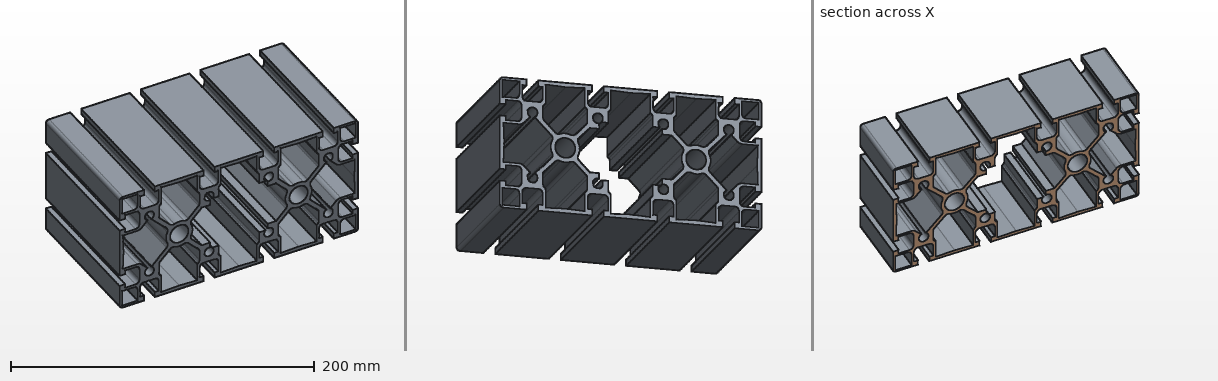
import cadquery as cq
import math

LENGTH = 100.0
MODULE = 45.0
WIDTH = 4 * MODULE
HEIGHT = 2 * MODULE
OUTER_RADIUS = 2.5

SLOT_OPENING = 8.2
SLOT_INNER = 14.0
SLOT_LIP = 4.2
SLOT_DEPTH = 15.0
SLOT_RADIUS = 3.0
SLOT_WALL = 1.95
SLOT_OFFSET = MODULE / 2

BOX_SKIN = 1.8
BOX_RADIUS = 3.0

CHANNEL_DIAMETER = 6.9
CHANNEL_BLOCK = 14.4
BLOCK_RADIUS = 2.5
SHOULDER_DEPTH = 15.6
GAP_SIDE_SHIFT = 0.8
GAP_FLOOR_SHIFT = 2.5

HUB_DIAMETER = 20.0
HUB_BORE = 13.8
HUB_FILLET = 3.0
PANEL_WEB_SIDE = 2.2
INNER_WEB_SIDE = 1.2

PANEL_EDGE = 2.45
PANEL_CENTRE = 3.0

SLANT_SHIFT = 1.2
SLANT_BEND_RADIUS = 5.0

BAY_HALF = SLOT_OFFSET - SLOT_INNER / 2 - SLOT_WALL
BLOCK_FACE = SLOT_OFFSET - CHANNEL_BLOCK / 2
SHOULDER = MODULE - SHOULDER_DEPTH
SHOULDER_END = SHOULDER - (BLOCK_FACE - BAY_HALF)
PANEL_INNER = MODULE - PANEL_EDGE
PANEL_CROWN = MODULE - PANEL_CENTRE

COLUMN_OFFSETS = [(column - 1.5) * MODULE for column in range(4)]
ROW_OFFSETS = [-SLOT_OFFSET, SLOT_OFFSET]

ROOT_TWO = math.sqrt(2)
UP, TOWARD_MINUS_Y, DOWN, TOWARD_PLUS_Y = range(4)


def profile_plane():
    return cq.Workplane("YZ", origin=(-LENGTH / 2, 0, 0))


def placed(cutter, direction, y, z):
    return cutter.rotate((0, 0, 0), (1, 0, 0), 90 * direction).translate((0, y, z))


def rod(diameter, y, z):
    return profile_plane().center(y, z).circle(diameter / 2).extrude(LENGTH)


def arc_point(centre, radius, angle):
    return (centre[0] + radius * math.cos(angle), centre[1] + radius * math.sin(angle))


def corner_arc(before, corner, after, radius):
    """Start, middle and end of the arc that rounds a corner between two straight lines."""
    to_before = math.atan2(before[1] - corner[1], before[0] - corner[0])
    to_after = math.atan2(after[1] - corner[1], after[0] - corner[0])
    half_angle = math.remainder(to_after - to_before, 2 * math.pi) / 2
    tangent = radius / math.tan(abs(half_angle))
    middle = radius / math.sin(abs(half_angle)) - radius
    return [
        arc_point(corner, tangent, to_before),
        arc_point(corner, middle, to_before + half_angle),
        arc_point(corner, tangent, to_after),
    ]


def mirrored(pieces):
    """Reflect a run of lines and arcs in the vertical axis and reverse its order."""
    return [[(-y, z) for y, z in reversed(piece)] for piece in reversed(pieces)]


def trace(path, pieces):
    """Draw a line to each piece; a piece is one point, or the three points of an arc."""
    for piece in pieces:
        path = path.lineTo(*piece[0])
        if len(piece) > 1:
            path = path.threePointArc(piece[1], piece[2])
    return path


def shoulder():
    """Side wall of a bay from its panel to the rounded step onto the face of a channel block."""
    wall_end = (BAY_HALF, SHOULDER)
    corner = (BLOCK_FACE, SHOULDER_END)
    below = (BLOCK_FACE, 0)
    return [[(BAY_HALF, PANEL_INNER)], [wall_end], corner_arc(wall_end, corner, below, BLOCK_RADIUS)]


def hub_curve(path, web_side):
    """Continue from the right web over the top of a hub at the origin to the left web."""
    hub_radius = HUB_DIAMETER / 2
    reach = hub_radius + HUB_FILLET
    diagonal = math.pi / 4
    swing = math.asin((web_side + HUB_FILLET) / reach)
    centre = arc_point((0, 0), reach, diagonal + swing)
    toward_web = -diagonal
    toward_hub = diagonal + swing - math.pi
    angles = [toward_web, (toward_web + toward_hub) / 2, toward_hub]
    right = [arc_point(centre, HUB_FILLET, angle) for angle in angles]
    left = mirrored([right])[0]
    path = trace(path, [right])
    path = path.threePointArc((0, hub_radius), left[0])
    return path.threePointArc(left[1], left[2])


def bay(start, right, web_side):
    """Symmetric bay: right side from start down to the web, over the hub, and back up the left."""
    path = trace(profile_plane().moveTo(*start), right)
    path = hub_curve(path, web_side)
    return trace(path, mirrored(right)).close().extrude(LENGTH)


def panel_bay():
    """Closed bay between a hub and a long-side panel."""
    step = PANEL_WEB_SIDE * ROOT_TWO
    block_top = (BLOCK_FACE, SHOULDER_END)
    web_corner = (BLOCK_FACE, BLOCK_FACE + step)
    web_foot = (0, step)
    right = shoulder() + [corner_arc(block_top, web_corner, web_foot, BLOCK_RADIUS)]
    return bay((0, PANEL_CROWN), right, PANEL_WEB_SIDE)


def end_bay():
    """Bay between a hub and an end panel; its inner corners open into two screw channels."""
    slant_sum = 2 * SLOT_OFFSET - SLANT_SHIFT * ROOT_TWO
    step = INNER_WEB_SIDE * ROOT_TWO
    tip = ((slant_sum - step) / 2, (slant_sum + step) / 2)
    wall_top = (BAY_HALF, PANEL_INNER)
    bend = (BAY_HALF, slant_sum - BAY_HALF)
    right = [[wall_top], corner_arc(wall_top, bend, tip, SLANT_BEND_RADIUS), [tip]]
    return bay((0, PANEL_CROWN), right, INNER_WEB_SIDE)


def middle_half_bay():
    """Half of the bay between the hubs, from one hub up to the middle of the profile."""
    gap_side = SLOT_OFFSET + GAP_SIDE_SHIFT
    gap_floor = SLOT_OFFSET - GAP_FLOOR_SHIFT
    side_wall = [[(z, MODULE - y) for y, z in piece] for piece in shoulder()]
    right = [[(PANEL_CROWN, MODULE)]] + side_wall + [
        [(gap_floor, MODULE - BLOCK_FACE)],
        [(gap_floor, gap_side)],
        [(BLOCK_FACE, gap_side)],
        [(BLOCK_FACE, BLOCK_FACE + INNER_WEB_SIDE * ROOT_TWO)],
    ]
    return bay((0, MODULE), right, INNER_WEB_SIDE)


def t_slot():
    """T-slot running down from an outer face at z = 0."""
    chamber_height = SLOT_DEPTH - SLOT_LIP
    chamber = (
        cq.Workplane("XY")
        .box(LENGTH, SLOT_INNER, chamber_height)
        .translate((0, 0, -SLOT_LIP - chamber_height / 2))
        .faces("<Z")
        .edges("|X")
        .fillet(SLOT_RADIUS)
    )
    throat = cq.Workplane("XY").box(LENGTH, SLOT_OPENING, SLOT_LIP).translate((0, 0, -SLOT_LIP / 2))
    return chamber.union(throat)


def corner_box():
    """Hollow of the corner box at +Y +Z, measured inward from that outer corner."""
    size = SLOT_OFFSET - SLOT_INNER / 2 - SLOT_WALL - BOX_SKIN
    centre = -BOX_SKIN - size / 2
    return (
        cq.Workplane("XY")
        .box(LENGTH, size, size)
        .edges("|X and <Y and <Z")
        .fillet(BOX_RADIUS)
        .translate((0, centre, centre))
    )


def build_profile():
    body = cq.Workplane("XY").box(LENGTH, WIDTH, HEIGHT).edges("|X").fillet(OUTER_RADIUS)
    slot = t_slot()
    box = corner_box()
    long_bay = panel_bay()
    short_bay = end_bay()
    half_bay = middle_half_bay()

    for y in COLUMN_OFFSETS:
        body = body.cut(placed(slot, UP, y, HEIGHT / 2))
        body = body.cut(placed(slot, DOWN, y, -HEIGHT / 2))
        for z in ROW_OFFSETS:
            body = body.cut(rod(CHANNEL_DIAMETER, y, z))

    for z in ROW_OFFSETS:
        body = body.cut(placed(slot, TOWARD_PLUS_Y, WIDTH / 2, z))
        body = body.cut(placed(slot, TOWARD_MINUS_Y, -WIDTH / 2, z))

    corners = [(1, 1), (-1, 1), (-1, -1), (1, -1)]
    for turns, (y_sign, z_sign) in enumerate(corners):
        body = body.cut(placed(box, turns, y_sign * WIDTH / 2, z_sign * HEIGHT / 2))

    hubs = [
        (-MODULE, TOWARD_MINUS_Y, TOWARD_PLUS_Y),
        (MODULE, TOWARD_PLUS_Y, TOWARD_MINUS_Y),
    ]
    for y, outward, inward in hubs:
        body = body.cut(rod(HUB_BORE, y, 0))
        body = body.cut(placed(long_bay, UP, y, 0))
        body = body.cut(placed(long_bay, DOWN, y, 0))
        body = body.cut(placed(short_bay, outward, y, 0))
        body = body.cut(placed(half_bay, inward, y, 0))
    return body


result = build_profile()